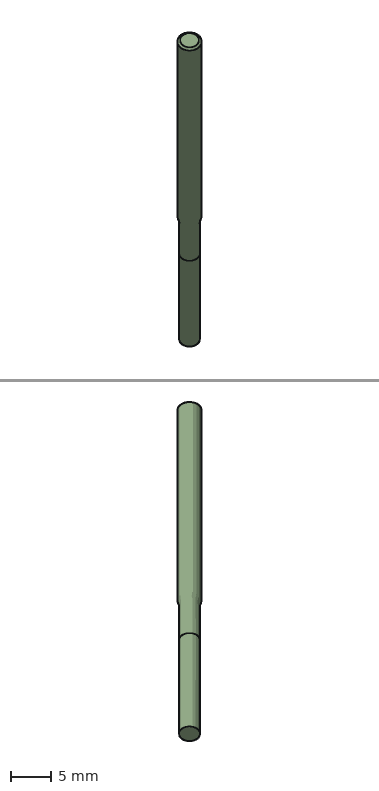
import cadquery as cq

total_length = 57.0
shank_diameter = 3.0
cutter_diameter = 2.6

point_height = 0.5
joint_height = 16.75
shoulder_bottom = 22.9
shoulder_top = 23.7

chamfer_width = 0.35
chamfer_height = 0.2

shank_radius = shank_diameter / 2
cutter_radius = cutter_diameter / 2


def revolve_profile(profile):
    """Turn a closed (radius, height) outline fully around the Z axis."""
    return cq.Workplane("XZ").polyline(profile).close().revolve(360, (0, 0), (0, 1))


def make_shank():
    """Chamfered shank that tapers at a shoulder to a neck of the cutter's diameter."""
    return revolve_profile([
        (0, joint_height),
        (cutter_radius, joint_height),
        (cutter_radius, shoulder_bottom),
        (shank_radius, shoulder_top),
        (shank_radius, total_length - chamfer_height),
        (shank_radius - chamfer_width, total_length),
        (0, total_length),
    ])


def make_cutter():
    """Cylindrical cutting end with a conical point, butted against the neck."""
    return revolve_profile([
        (0, 0),
        (cutter_radius, point_height),
        (cutter_radius, joint_height),
        (0, joint_height),
    ])


shank = make_shank()
cutter = make_cutter()

result = cq.Compound.makeCompound([shank.val(), cutter.val()])